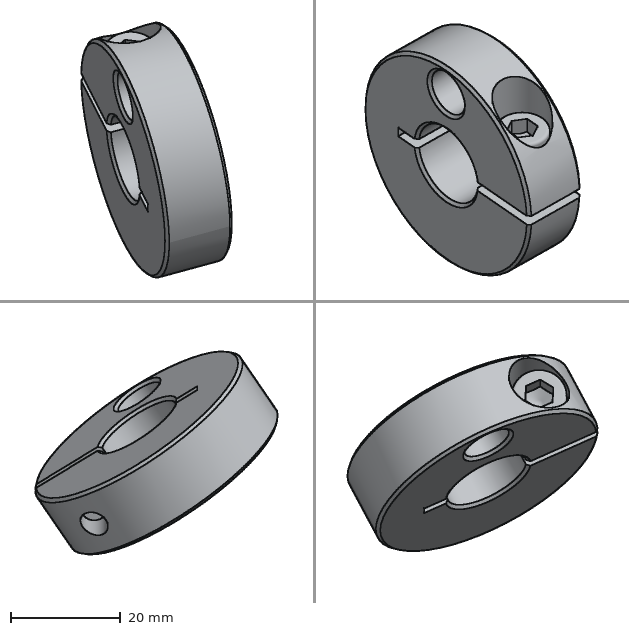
import cadquery as cq
import math

collar_diameter = 45.0
collar_width = 13.0
bore_diameter = 16.0
edge_chamfer = 0.6

slit_width = 2.0
slit_end_x = 13.0

side_hole_diameter = 9.0
side_hole_z = 16.5

screw_x = -13.5
screw_diameter = 6.0
screw_length = 16.0
head_diameter = 10.0
head_height = 6.0
head_fillet = 0.6
head_seat_z = 7.0

socket_across_flats = 5.0
socket_depth = 3.0
socket_cone_angle = 120.0

counterbore_diameter = 11.0
tap_drill_diameter = 5.0

collar_radius = collar_diameter / 2
head_top_z = head_seat_z + head_height
screw_end_z = head_seat_z - screw_length


def cylinder_z(diameter, bottom_z, top_z):
    """Cylinder on the screw axis between two heights."""
    return (
        cq.Workplane("XY", origin=(screw_x, 0, bottom_z))
        .circle(diameter / 2)
        .extrude(top_z - bottom_z)
    )


def chamfered_hole_cutter(diameter, center_z):
    """Through-hole cutter along Y that widens by the edge chamfer at both faces."""
    radius = diameter / 2
    half_width = collar_width / 2
    profile = [
        (0, -half_width),
        (radius + edge_chamfer, -half_width),
        (radius, -half_width + edge_chamfer),
        (radius, half_width - edge_chamfer),
        (radius + edge_chamfer, half_width),
        (0, half_width),
    ]
    cutter = cq.Workplane("XY").polyline(profile).close().revolve(360, (0, 0, 0), (0, 1, 0))
    return cutter.translate((0, 0, center_z))


def make_slit_cutter():
    """Slab from the -X rim through the bore to the blind end of the slit."""
    slit_length = slit_end_x + collar_radius
    return cq.Workplane("XY").box(slit_length, collar_width, slit_width).translate(
        (slit_end_x - slit_length / 2, 0, 0)
    )


def make_screw_hole_cutter():
    """Tapping hole through the collar, screw shank hole and head counterbore."""
    tap_drill = cylinder_z(tap_drill_diameter, -collar_radius, screw_end_z)
    shank_hole = cylinder_z(screw_diameter, screw_end_z, head_seat_z)
    counterbore = cylinder_z(counterbore_diameter, head_seat_z, collar_radius)
    return tap_drill.union(shank_hole).union(counterbore)


def make_collar():
    ring = (
        cq.Workplane("XZ", origin=(0, collar_width / 2, 0))
        .circle(collar_radius)
        .extrude(collar_width)
        .edges("%CIRCLE")
        .chamfer(edge_chamfer)
    )
    return (
        ring.cut(chamfered_hole_cutter(bore_diameter, 0))
        .cut(chamfered_hole_cutter(side_hole_diameter, side_hole_z))
        .cut(make_slit_cutter())
        .cut(make_screw_hole_cutter())
    )


def make_socket_cutter():
    """Hexagonal prism with corners on the X axis, ended by a drill-point cone."""
    corner_radius = socket_across_flats / math.sqrt(3)
    cone_depth = corner_radius / math.tan(math.radians(socket_cone_angle / 2))
    cone_base_z = head_top_z - socket_depth
    cone_tip_z = cone_base_z - cone_depth
    drill_profile = [
        (0, cone_tip_z),
        (corner_radius, cone_base_z),
        (corner_radius, head_top_z),
        (0, head_top_z),
    ]
    drill = (
        cq.Workplane("XZ")
        .polyline(drill_profile)
        .close()
        .revolve(360, (0, 0, 0), (0, 1, 0))
        .translate((screw_x, 0, 0))
    )
    hexagon = (
        cq.Workplane("XY", origin=(screw_x, 0, cone_tip_z))
        .polygon(6, 2 * corner_radius)
        .extrude(head_top_z - cone_tip_z)
    )
    return hexagon.intersect(drill)


def make_screw():
    head = cylinder_z(head_diameter, head_seat_z, head_top_z).faces(">Z").edges().fillet(head_fillet)
    shank = cylinder_z(screw_diameter, screw_end_z, head_seat_z)
    return head.union(shank).cut(make_socket_cutter())


collar = make_collar()
screw = make_screw()

result = cq.Compound.makeCompound([*collar.solids().vals(), *screw.solids().vals()])